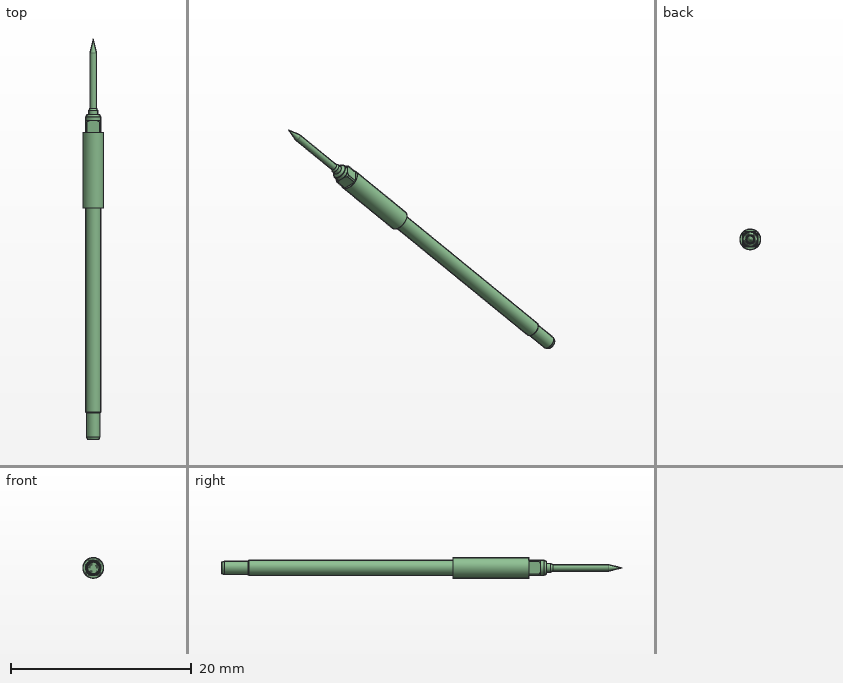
import cadquery as cq


total_length = 44.3
sleeve_dia = 2.3
sleeve_length = 8.4
sleeve_front_to_point = 10.3

tube_dia = 1.7
tube_end_chamfer = 0.09
tail_dia = 1.5
tail_length = 2.95
tail_chamfer_length = 0.3
tail_chamfer_depth = 0.12

square_width = 1.7
square_corner_dia = 2.2
square_length = 1.3
square_corner_chamfer = 0.15

ring_dia = 1.7
ring_length = 0.4
shoulder_dia = 1.6
shoulder_length = 0.28
shoulder_round = 0.25
neck_dia = 1.0
neck_length = 0.42
collar_length = 0.25
needle_dia = 0.75

point_cone_length = 1.5

point_y = sleeve_front_to_point
rear_y = point_y - total_length
tail_chamfer_y = rear_y + tail_chamfer_length
tube_end_y = rear_y + tail_length
ring_rear_y = square_length
ring_front_y = ring_rear_y + ring_length
shoulder_front_y = ring_front_y + shoulder_length
neck_front_y = shoulder_front_y + neck_length
collar_front_y = neck_front_y + collar_length
cone_base_y = point_y - point_cone_length


def frustum(rear, front, rear_dia, front_dia):
    """Solid of revolution about Y whose diameter runs straight from rear to front."""
    return (
        cq.Workplane("XY")
        .moveTo(0, rear)
        .lineTo(rear_dia / 2, rear)
        .lineTo(front_dia / 2, front)
        .lineTo(0, front)
        .close()
        .revolve(360, (0, 0, 0), (0, 1, 0))
    )


def rod(rear, front, dia):
    """Plain cylinder about Y."""
    return frustum(rear, front, dia, dia)


def make_tail():
    lead_in = frustum(rear_y, tail_chamfer_y, tail_dia - 2 * tail_chamfer_depth, tail_dia)
    return lead_in.union(rod(tail_chamfer_y, tube_end_y, tail_dia))


def make_tube():
    return rod(tube_end_y, -sleeve_length, tube_dia).faces("<Y").chamfer(tube_end_chamfer)


def make_square():
    """Square prism with its four corners turned to a cylinder and chamfered at the front."""
    prism = cq.Workplane("XY").box(square_width, square_length, square_width)
    prism = prism.translate((0, square_length / 2, 0))
    turned_corners = rod(0, square_length, square_corner_dia).faces(">Y").chamfer(square_corner_chamfer)
    return prism.intersect(turned_corners)


def make_nose():
    ring = rod(ring_rear_y, ring_front_y, ring_dia)
    shoulder = rod(ring_front_y, shoulder_front_y, shoulder_dia)
    shoulder = shoulder.faces(">Y").edges().fillet(shoulder_round)
    neck = rod(shoulder_front_y, neck_front_y, neck_dia)
    collar = frustum(neck_front_y, collar_front_y, neck_dia, needle_dia)
    return ring.union(shoulder).union(neck).union(collar)


def make_needle():
    shank = rod(collar_front_y, cone_base_y, needle_dia)
    cone = cq.Solid.makeCone(
        needle_dia / 2, 0, point_cone_length, cq.Vector(0, cone_base_y, 0), cq.Vector(0, 1, 0)
    )
    return shank.union(cq.Workplane(cone))


sleeve = rod(-sleeve_length, 0, sleeve_dia)
result = (
    sleeve.union(make_tube())
    .union(make_tail())
    .union(make_square())
    .union(make_nose())
    .union(make_needle())
)